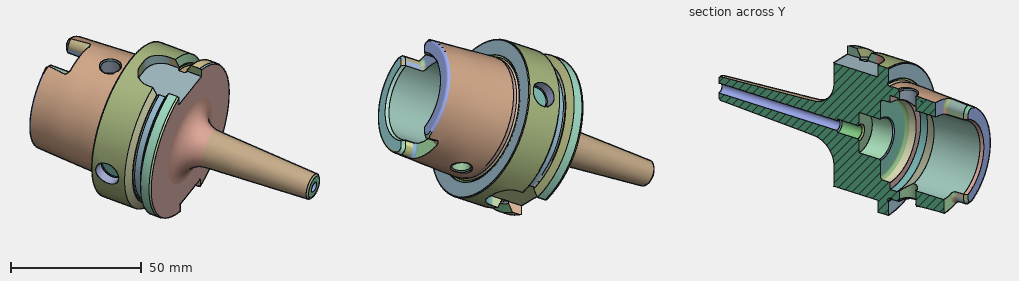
import cadquery as cq
import math


TOTAL_LENGTH = 111.9
SHANK_LENGTH = 32.0
NOSE_END = TOTAL_LENGTH - SHANK_LENGTH

SHANK_END_RADIUS = 22.7
TAPER_SLOPE = 1 / 20
TAPER_END = -2.0
NECK_START = -1.0
NECK_END = -0.3
NECK_RADIUS = 47.9 / 2
SHANK_EDGE_RADIUS = 1.1

RELIEF_DEPTH = 0.5
RELIEF_FLOOR_RADIUS = 24.5
RELIEF_RADIUS = 25.3

FLANGE_RADIUS = 63.0 / 2
FLANGE_WIDTH = 26.0
FACE_CHAMFER = 0.3
REAR_CHAMFER_LENGTH = 0.8
REAR_CHAMFER_DEPTH = 0.3

GROOVE_CENTER = 18.0
GROOVE_MOUTH_WIDTH = 6.9
GROOVE_SLOT_WIDTH = 3.5
GROOVE_FLOOR_RADIUS = 27.5
GROOVE_FLOOR_FILLET = 0.5
GROOVE_FLANK_ANGLE = 30

NOSE_TIP_RADIUS = 5.1
NOSE_HALF_ANGLE = 3.0
NOSE_ROOT_RADIUS = 10.0
NOSE_TIP_CHAMFER = 0.7

BORE_RADIUS = 34.0 / 2
BORE_DEPTH = 35.8
BORE_FLOOR_FILLET = 1.3
BORE_MOUTH_CHAMFER_DEPTH = 0.7
BORE_MOUTH_CHAMFER_LENGTH = 1.3
CLAMP_GROOVE_RADIUS = 40.0 / 2
CLAMP_GROOVE_START = 22.9
CLAMP_GROOVE_END = 31.3
CLAMP_ANGLE = 30
THREAD_RADIUS = 17.0 / 2
THREAD_DEPTH = 10.1
THREAD_CHAMFER = 0.5
COOLANT_RADIUS = 5.5 / 2
COOLANT_MOUTH_RADIUS = 6.8 / 2
COOLANT_DEPTH = 10.1
NOZZLE_RADIUS = 4.0 / 2
DRILL_POINT_ANGLE = 118

SLOT_HALF_WIDTH = 6.2
SLOT_LIP_RADIUS = 3.0
SLOT_LIP_START = 18.0
SLOT_FLOOR_FILLET = 1.3
SLOT_MOUTH_CHAMFER = 1.2
UPPER_SLOT_DEPTH = 10.0
LOWER_SLOT_DEPTH = 6.0

KEYWAY_START = 5.1
KEYWAY_FLOOR = 26.4
KEYWAY_CORNER_RADIUS = 7.0
UPPER_KEYWAY_WIDTH = 17.9
LOWER_KEYWAY_WIDTH = 16.0

SHANK_HOLE_X = -8.8
SHANK_HOLE_RADIUS = 7.5 / 2
SHANK_HOLE_CHAMFER = 0.5
FLANGE_HOLE_X = 6.9
FLANGE_HOLE_RADIUS = 10.0 / 2
FLANGE_HOLE_DEPTH = 4.7
FLANGE_HOLE_FLOOR_CHAMFER = 0.3


def turned_body():
    """Solid of revolution of the outer profile."""
    taper_end_radius = SHANK_END_RADIUS + TAPER_SLOPE * (TAPER_END + SHANK_LENGTH)
    mouth_half = GROOVE_MOUTH_WIDTH / 2
    slot_half = GROOVE_SLOT_WIDTH / 2
    flank_drop = (mouth_half - slot_half) / math.tan(math.radians(GROOVE_FLANK_ANGLE))
    flank_end_radius = FLANGE_RADIUS - flank_drop
    fillet_end_radius = GROOVE_FLOOR_RADIUS + GROOVE_FLOOR_FILLET

    angle = math.radians(NOSE_HALF_ANGLE)
    root_center_x = FLANGE_WIDTH + NOSE_ROOT_RADIUS
    cone_start_x = root_center_x - NOSE_ROOT_RADIUS * math.sin(angle)
    cone_start_radius = NOSE_TIP_RADIUS + (NOSE_END - cone_start_x) * math.tan(angle)
    root_center_radius = cone_start_radius + NOSE_ROOT_RADIUS * math.cos(angle)
    mid_angle = (math.pi / 2 - angle) / 2
    root_middle = (
        root_center_x - NOSE_ROOT_RADIUS * math.cos(mid_angle),
        root_center_radius - NOSE_ROOT_RADIUS * math.sin(mid_angle),
    )

    profile = (
        cq.Workplane("XY")
        .moveTo(-SHANK_LENGTH, 0)
        .lineTo(-SHANK_LENGTH, SHANK_END_RADIUS)
        .lineTo(TAPER_END, taper_end_radius)
        .lineTo(NECK_START, NECK_RADIUS)
        .lineTo(NECK_END, NECK_RADIUS)
        .lineTo(RELIEF_DEPTH, RELIEF_FLOOR_RADIUS)
        .lineTo(RELIEF_DEPTH, RELIEF_RADIUS)
        .lineTo(0, RELIEF_RADIUS)
        .lineTo(0, FLANGE_RADIUS - FACE_CHAMFER)
        .lineTo(FACE_CHAMFER, FLANGE_RADIUS)
        .lineTo(GROOVE_CENTER - mouth_half, FLANGE_RADIUS)
        .lineTo(GROOVE_CENTER - slot_half, flank_end_radius)
        .lineTo(GROOVE_CENTER - slot_half, fillet_end_radius)
        .radiusArc((GROOVE_CENTER - slot_half + GROOVE_FLOOR_FILLET, GROOVE_FLOOR_RADIUS), -GROOVE_FLOOR_FILLET)
        .lineTo(GROOVE_CENTER + slot_half - GROOVE_FLOOR_FILLET, GROOVE_FLOOR_RADIUS)
        .radiusArc((GROOVE_CENTER + slot_half, fillet_end_radius), -GROOVE_FLOOR_FILLET)
        .lineTo(GROOVE_CENTER + slot_half, flank_end_radius)
        .lineTo(GROOVE_CENTER + mouth_half, FLANGE_RADIUS)
        .lineTo(FLANGE_WIDTH - REAR_CHAMFER_LENGTH, FLANGE_RADIUS)
        .lineTo(FLANGE_WIDTH, FLANGE_RADIUS - REAR_CHAMFER_DEPTH)
        .lineTo(FLANGE_WIDTH, root_center_radius)
        .threePointArc(root_middle, (cone_start_x, cone_start_radius))
        .lineTo(NOSE_END, NOSE_TIP_RADIUS)
        .lineTo(NOSE_END, 0)
        .close()
    )
    body = profile.revolve(360, (0, 0, 0), (1, 0, 0))
    body = body.faces(">X").edges().chamfer(NOSE_TIP_CHAMFER)
    return body.faces("<X").edges().fillet(SHANK_EDGE_RADIUS)


def bore():
    """Stepped bore, from the shank mouth to the nozzle hole through the nose tip."""
    mouth = -SHANK_LENGTH
    floor = mouth + BORE_DEPTH
    thread_floor = floor + THREAD_DEPTH
    coolant_floor = thread_floor + COOLANT_DEPTH
    coolant_chamfer = COOLANT_MOUTH_RADIUS - COOLANT_RADIUS
    drill_point = (COOLANT_RADIUS - NOZZLE_RADIUS) / math.tan(math.radians(DRILL_POINT_ANGLE / 2))
    clamp_cone_length = (CLAMP_GROOVE_RADIUS - BORE_RADIUS) / math.tan(math.radians(CLAMP_ANGLE))
    return (
        cq.Workplane("XY")
        .moveTo(mouth, 0)
        .lineTo(mouth, BORE_RADIUS + BORE_MOUTH_CHAMFER_DEPTH)
        .lineTo(mouth + BORE_MOUTH_CHAMFER_LENGTH, BORE_RADIUS)
        .lineTo(mouth + CLAMP_GROOVE_START, BORE_RADIUS)
        .lineTo(mouth + CLAMP_GROOVE_START + clamp_cone_length, CLAMP_GROOVE_RADIUS)
        .lineTo(mouth + CLAMP_GROOVE_END, CLAMP_GROOVE_RADIUS)
        .lineTo(mouth + CLAMP_GROOVE_END, BORE_RADIUS)
        .lineTo(floor - BORE_FLOOR_FILLET, BORE_RADIUS)
        .radiusArc((floor, BORE_RADIUS - BORE_FLOOR_FILLET), BORE_FLOOR_FILLET)
        .lineTo(floor, THREAD_RADIUS + THREAD_CHAMFER)
        .lineTo(floor + THREAD_CHAMFER, THREAD_RADIUS)
        .lineTo(thread_floor, THREAD_RADIUS)
        .lineTo(thread_floor, COOLANT_MOUTH_RADIUS)
        .lineTo(thread_floor + coolant_chamfer, COOLANT_RADIUS)
        .lineTo(coolant_floor, COOLANT_RADIUS)
        .lineTo(coolant_floor + drill_point, NOZZLE_RADIUS)
        .lineTo(NOSE_END, NOZZLE_RADIUS)
        .lineTo(NOSE_END, 0)
        .close()
        .revolve(360, (0, 0, 0), (1, 0, 0))
    )


def slot_outline(plane, growth):
    """Drive slot section on the +Z side, with its walls and lips set back by the given growth."""
    half_width = SLOT_HALF_WIDTH + growth
    lip_radius = SLOT_LIP_RADIUS - growth
    center_y = half_width + lip_radius
    lip_angle = math.atan2(SLOT_LIP_START, center_y)
    lip_end_y = center_y + lip_radius * math.cos(lip_angle)
    lip_end_z = SLOT_LIP_START + lip_radius * math.sin(lip_angle)
    outer_y = FLANGE_RADIUS
    outer_z = lip_end_z - (outer_y - lip_end_y) / math.tan(lip_angle)
    return (
        plane
        .moveTo(-half_width, 0)
        .lineTo(-half_width, SLOT_LIP_START)
        .radiusArc((-lip_end_y, lip_end_z), -lip_radius)
        .lineTo(-outer_y, outer_z)
        .lineTo(-outer_y, FLANGE_RADIUS)
        .lineTo(outer_y, FLANGE_RADIUS)
        .lineTo(outer_y, outer_z)
        .lineTo(lip_end_y, lip_end_z)
        .radiusArc((half_width, SLOT_LIP_START), -lip_radius)
        .lineTo(half_width, 0)
        .close()
    )


def drive_slot(depth):
    """Cutter for a drive slot on the +Z side: walls rolling outwards over round lips, bevelled at the mouth."""
    end_plane = cq.Workplane("YZ", origin=(-SHANK_LENGTH, 0, 0))
    slot = slot_outline(end_plane, 0).extrude(depth)
    floor_edges = slot.faces(">X").edges("not(<Z or >Z or <Y or >Y)")
    slot = floor_edges.fillet(SLOT_FLOOR_FILLET)
    bevel = slot_outline(end_plane, SLOT_MOUTH_CHAMFER).workplane(offset=SLOT_MOUTH_CHAMFER)
    bevel = slot_outline(bevel, 0).loft(ruled=True)
    return slot.union(bevel)


def keyway(width):
    """Cutter for a flange keyway on the +Z side, open at the rear of the flange."""
    length = FLANGE_WIDTH - KEYWAY_START
    return (
        cq.Workplane("XY", origin=(KEYWAY_START + length / 2, 0, KEYWAY_FLOOR))
        .rect(length, width)
        .extrude(FLANGE_RADIUS - KEYWAY_FLOOR)
        .edges("|Z and <X")
        .fillet(KEYWAY_CORNER_RADIUS)
    )


def on_lower_side(cutter):
    """The same cutter turned half a turn about the X axis."""
    return cutter.rotate((0, 0, 0), (1, 0, 0), 180)


def shank_hole():
    """Radial hole through both shank walls, with a countersunk rim on each side."""
    surface = SHANK_END_RADIUS + TAPER_SLOPE * (SHANK_HOLE_X + SHANK_LENGTH)
    rim = SHANK_HOLE_RADIUS + SHANK_HOLE_CHAMFER
    axis_start = (SHANK_HOLE_X, 0, 0)
    axis_end = (SHANK_HOLE_X, 1, 0)
    half = (
        cq.Workplane("XZ")
        .moveTo(SHANK_HOLE_X, 0)
        .lineTo(SHANK_HOLE_X + SHANK_HOLE_RADIUS, 0)
        .lineTo(SHANK_HOLE_X + SHANK_HOLE_RADIUS, surface - 2 * SHANK_HOLE_CHAMFER)
        .lineTo(SHANK_HOLE_X + rim, surface - SHANK_HOLE_CHAMFER)
        .lineTo(SHANK_HOLE_X + rim, surface + SHANK_HOLE_CHAMFER)
        .lineTo(SHANK_HOLE_X, surface + SHANK_HOLE_CHAMFER)
        .close()
        .revolve(360, axis_start, axis_end)
    )
    return half.union(on_lower_side(half))


def flange_hole():
    """Blind hole on the -Y side of the flange, with a bevelled floor edge."""
    floor = FLANGE_RADIUS - FLANGE_HOLE_DEPTH
    return (
        cq.Workplane("XZ", origin=(FLANGE_HOLE_X, -floor, 0))
        .circle(FLANGE_HOLE_RADIUS)
        .extrude(FLANGE_HOLE_DEPTH)
        .faces(">Y")
        .chamfer(FLANGE_HOLE_FLOOR_CHAMFER)
    )


body = turned_body().cut(bore())
body = body.cut(drive_slot(UPPER_SLOT_DEPTH))
body = body.cut(on_lower_side(drive_slot(LOWER_SLOT_DEPTH)))
body = body.cut(keyway(UPPER_KEYWAY_WIDTH))
body = body.cut(on_lower_side(keyway(LOWER_KEYWAY_WIDTH)))
body = body.cut(shank_hole())
body = body.cut(flange_hole())

result = body